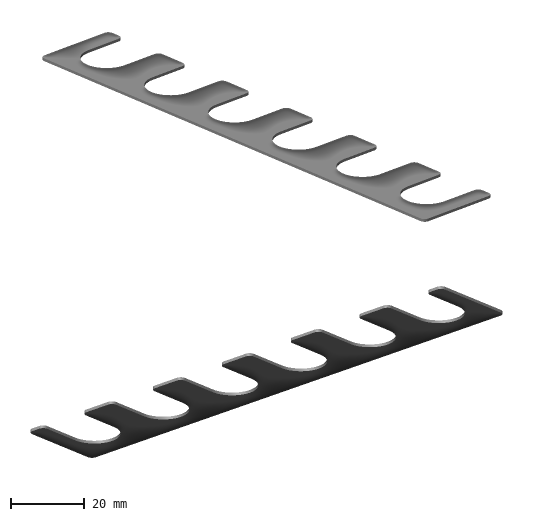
import cadquery as cq

slot_count = 6
slot_pitch = 25.4
slot_width = 14.224
slot_depth = 19.812
plate_length = slot_count * slot_pitch
plate_width = 25.4
plate_thickness = 0.8128
corner_radius = 1.524


def make_plate():
    """Rectangular blank centred in X and Y, resting on Z = 0."""
    return cq.Workplane("XY").box(
        plate_length, plate_width, plate_thickness, centered=(True, True, False)
    )


def make_slot(center_x):
    """Slot cutter open at the +Y edge with a semicircular closed end."""
    slot_radius = slot_width / 2
    open_end_y = plate_width / 2
    closed_end_y = open_end_y - slot_depth
    arc_center_y = closed_end_y + slot_radius
    return (
        cq.Workplane("XY")
        .moveTo(center_x - slot_radius, open_end_y)
        .lineTo(center_x - slot_radius, arc_center_y)
        .threePointArc((center_x, closed_end_y), (center_x + slot_radius, arc_center_y))
        .lineTo(center_x + slot_radius, open_end_y)
        .close()
        .extrude(plate_thickness)
    )


def make_comb():
    comb = make_plate()
    for index in range(slot_count):
        center_x = (index - (slot_count - 1) / 2) * slot_pitch
        comb = comb.cut(make_slot(center_x))
    return comb


def round_corners(comb):
    """Round the plate corners and finger tips, which all lie on the two long edges."""
    long_edge_corners = comb.faces("<Y or >Y").edges("|Z")
    return long_edge_corners.fillet(corner_radius)


result = round_corners(make_comb())